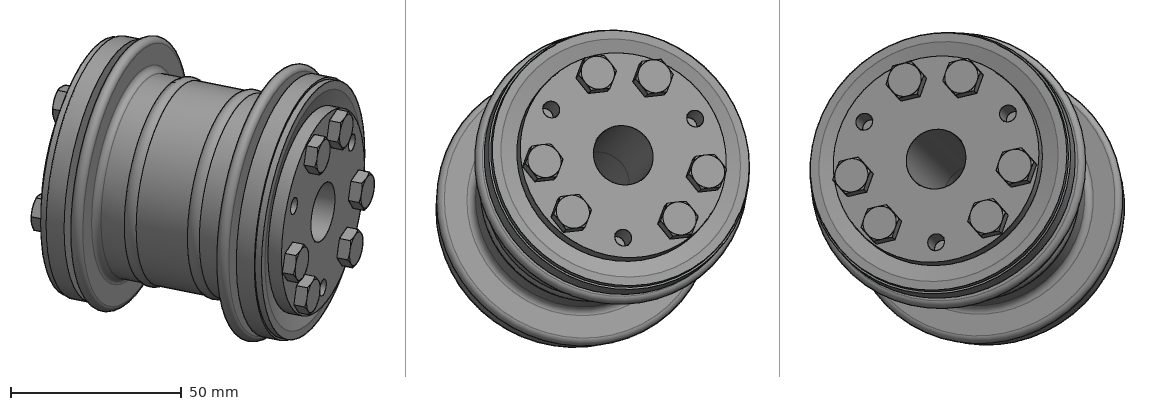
import cadquery as cq
import math

length = 84.0
half_length = length / 2

bolt_head_height = 3.8
plate_face = half_length - bolt_head_height
rim_face = 35.1
rim_step = 33.1
rim_back = 27.4
groove_width = 2.3
flange_thickness = 3.7
flange_outer = rim_back - groove_width
flange_inner = flange_outer - flange_thickness
rib_width = 3.8
rib_inner = 8.15
rib_center = rib_inner + rib_width / 2
rib_outer = rib_inner + rib_width

bore_diameter = 18.0
barrel_diameter = 61.2
rib_diameter = 62.7
plate_diameter = 62.0
recess_diameter = 72.1
rim_face_diameter = 77.3
rim_diameter = 78.5
right_flange_diameter = 82.7
left_flange_diameter = 82.15

flange_fillet = 2.1
groove_radius = groove_width / 2
recess_depth = 1.2

bolt_circle_diameter = 50.0
bolt_across_flats = 10.0
bolt_chamfer = 0.3
bolt_twist = 10.0
bolt_spread = 20.0
group_angles = (90, 210, 330)
dowel_diameter = 5.0
dowel_depth = 8.4


def middle_barrel():
    """Plain tube between the two ribs."""
    return (
        cq.Workplane("YZ", origin=(-rib_inner, 0, 0))
        .circle(barrel_diameter / 2)
        .circle(bore_diameter / 2)
        .extrude(2 * rib_inner)
    )


def spool_end(flange_diameter):
    """Turned end from the rib out to the end plate, revolved about X."""
    barrel = barrel_diameter / 2
    rib_top = rib_diameter / 2
    flange_edge = (flange_diameter - flange_thickness) / 2
    flange_center = (flange_inner + flange_outer) / 2
    bend = 1 - math.sqrt(0.5)

    profile = (
        cq.Workplane("XY")
        .moveTo(rib_inner, bore_diameter / 2)
        .lineTo(rib_inner, barrel)
        .threePointArc((rib_center, rib_top), (rib_outer, barrel))
        .lineTo(flange_inner - flange_fillet, barrel)
        .threePointArc(
            (flange_inner - bend * flange_fillet, barrel + bend * flange_fillet),
            (flange_inner, barrel + flange_fillet),
        )
        .lineTo(flange_inner, flange_edge)
        .threePointArc((flange_center, flange_diameter / 2), (flange_outer, flange_edge))
        .lineTo(flange_outer, barrel + groove_radius)
        .threePointArc((flange_outer + groove_radius, barrel), (rim_back, barrel + groove_radius))
        .lineTo(rim_back, rim_diameter / 2)
        .lineTo(rim_step, rim_diameter / 2)
        .lineTo(rim_step, rim_face_diameter / 2)
        .lineTo(rim_face, rim_face_diameter / 2)
        .lineTo(rim_face, recess_diameter / 2)
        .lineTo(rim_face - recess_depth, plate_diameter / 2)
        .lineTo(plate_face, plate_diameter / 2)
        .lineTo(plate_face, bore_diameter / 2)
        .close()
    )
    return profile.revolve(360, (0, 0, 0), (1, 0, 0))


def on_bolt_circle(angle):
    """Point on the bolt circle, angle measured from +Y towards +Z."""
    radius = bolt_circle_diameter / 2
    a = math.radians(angle)
    return radius * math.cos(a), radius * math.sin(a)


def bolt_heads():
    """Hexagon heads in pairs, all turned the same way, outer corners chamfered."""
    across_corners = bolt_across_flats / math.cos(math.pi / 6)
    hexagon = (
        cq.Workplane("YZ", origin=(plate_face, 0, 0))
        .transformed(rotate=(0, 0, bolt_twist))
        .polygon(6, across_corners)
        .extrude(bolt_head_height)
    )
    cone = (
        cq.Workplane("YZ", origin=(plate_face, 0, 0))
        .circle(across_corners / 2)
        .extrude(bolt_head_height)
        .faces(">X")
        .chamfer(bolt_chamfer, (across_corners - bolt_across_flats) / 2)
    )
    head = hexagon.intersect(cone)
    heads = cq.Workplane("YZ")
    for group in group_angles:
        for side in (-1, 1):
            y, z = on_bolt_circle(group + side * bolt_spread)
            heads = heads.add(head.translate((0, y, z)))
    return heads.combine()


def dowel_holes():
    """Blind holes midway between the bolt pairs."""
    points = [on_bolt_circle(group + 180) for group in group_angles]
    return (
        cq.Workplane("YZ", origin=(plate_face - dowel_depth, 0, 0))
        .pushPoints(points)
        .circle(dowel_diameter / 2)
        .extrude(dowel_depth)
    )


def roller_end(flange_diameter):
    """Complete end facing +X, with its bolts and dowel holes."""
    return spool_end(flange_diameter).union(bolt_heads()).cut(dowel_holes())


right_end = roller_end(right_flange_diameter)
left_end = roller_end(left_flange_diameter).rotate((0, 0, 0), (0, 0, 1), 180)
result = middle_barrel().union(right_end).union(left_end)